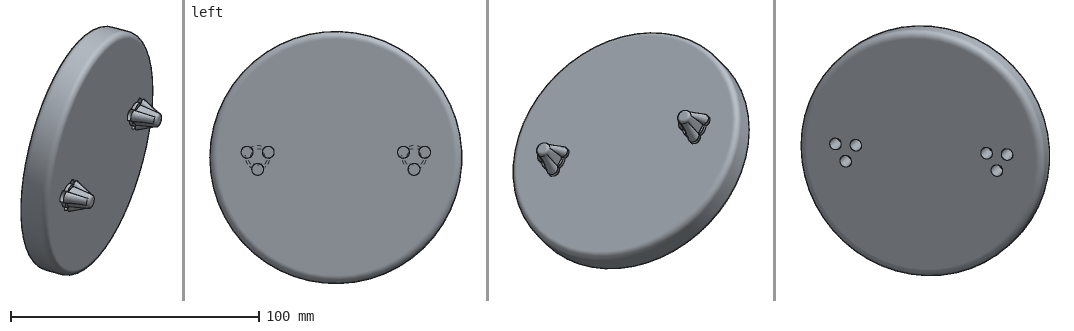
import cadquery as cq
import math

disc_radius = 50.8
disc_thickness = 12.6
plain_edge_fillet = 3.0
stud_edge_fillet = 2.5

overall_depth = 23.8
stud_offset = 31.5
neck_radius = 4.9
neck_length = 1.5
nose_radius = 2.9
nose_length = 1.2

hole_diameter = 4.8
hole_radius = hole_diameter / 2
upper_hole_y = 4.3
upper_hole_z = 2.1
lower_hole_z = -4.8
hole_centers = [
    (upper_hole_y, upper_hole_z),
    (-upper_hole_y, upper_hole_z),
    (0, lower_hole_z),
]

flat_offset = 1.3

head_start = disc_thickness + neck_length
nose_start = overall_depth - nose_length


def yz_plane(x, y=0):
    """YZ plane facing +X, with its origin at (x, y, 0)."""
    return cq.Workplane("YZ", origin=(x, y, 0))


def flat_ends(first, second):
    """Ends of the flat between two lobes met counter-clockwise, where it meets their circles."""
    run_y = second[0] - first[0]
    run_z = second[1] - first[1]
    length = math.hypot(run_y, run_z)
    along = (run_y / length, run_z / length)
    outward = (along[1], -along[0])
    reach = math.sqrt(hole_radius**2 - flat_offset**2)

    def shifted(center, distance):
        return tuple(center[i] + distance * along[i] + flat_offset * outward[i] for i in range(2))

    return shifted(first, reach), shifted(second, -reach)


def lobed_outline(workplane):
    """Closed outline of three round lobes around the holes, joined by straight flats."""
    count = len(hole_centers)
    flats = [flat_ends(hole_centers[i], hole_centers[(i + 1) % count]) for i in range(count)]
    outline = workplane.moveTo(*flats[-1][1])
    for center, (flat_start, flat_end) in zip(hole_centers, flats):
        stretch = 1 + hole_radius / math.hypot(*center)
        lobe_peak = (center[0] * stretch, center[1] * stretch)
        outline = outline.threePointArc(lobe_peak, flat_start).lineTo(*flat_end)
    return outline.close()


def make_disc():
    disc = yz_plane(0).circle(disc_radius).extrude(disc_thickness)
    disc = disc.faces("<X").edges().fillet(plain_edge_fillet)
    return disc.faces(">X").edges().fillet(stud_edge_fillet)


def make_nose(y):
    """Round end of the head: a quarter-round edge, as tall as the nose, around a flat tip."""
    flat_radius = nose_radius - nose_length
    bulge = nose_length * math.sin(math.radians(45))
    profile = (
        cq.Workplane("XY", origin=(nose_start, y, 0))
        .lineTo(0, nose_radius)
        .threePointArc((bulge, flat_radius + bulge), (nose_length, flat_radius))
        .lineTo(nose_length, 0)
        .close()
    )
    return profile.revolve(360, (0, 0), (1, 0))


def make_head(y):
    outline = lobed_outline(yz_plane(head_start, y))
    taper = outline.workplane(offset=nose_start - head_start).circle(nose_radius).loft(ruled=True)
    return taper.union(make_nose(y))


result = make_disc()
for stud_y in (-stud_offset, stud_offset):
    neck = yz_plane(disc_thickness, stud_y).circle(neck_radius).extrude(neck_length)
    holes = yz_plane(0, stud_y).pushPoints(hole_centers).circle(hole_radius).extrude(head_start)
    result = result.union(neck).cut(holes).union(make_head(stud_y))